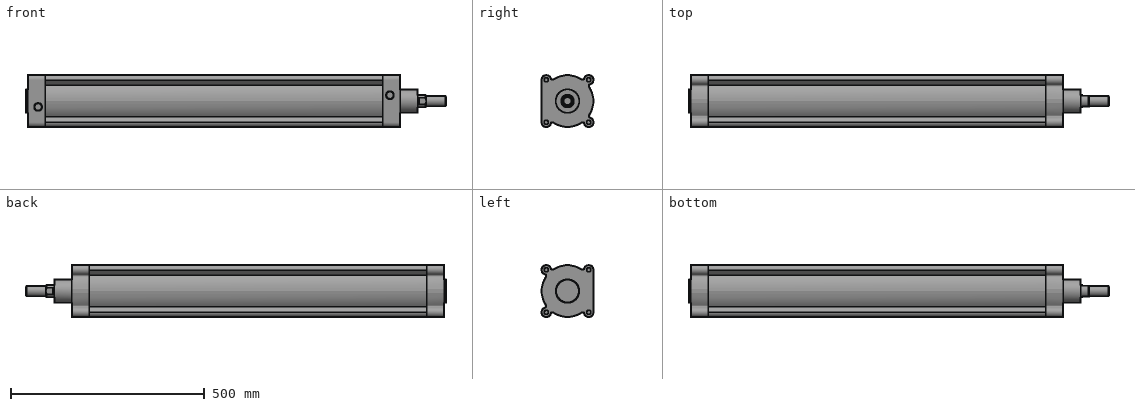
import cadquery as cq
import math

TOTAL_LENGTH = 1085.0
SPIGOT_LENGTH = 6.0
CAP_LENGTH = 45.0
FRONT_CAP_END = 966.0
COLLAR_LENGTH = 46.0
REAR_CAP_START = SPIGOT_LENGTH
BARREL_START = REAR_CAP_START + CAP_LENGTH
FRONT_CAP_START = FRONT_CAP_END - CAP_LENGTH
COLLAR_END = FRONT_CAP_END + COLLAR_LENGTH

WIDTH = 135.0
HALF_WIDTH = WIDTH / 2
BODY_DIAMETER = 133.0
BODY_RADIUS = BODY_DIAMETER / 2

BARREL_LUG_OFFSET = 54.0
RIDGE_HALF_WIDTH = 8.1

CAP_LUG_DIAMETER = 25.0
CAP_LUG_RADIUS = CAP_LUG_DIAMETER / 2
CAP_LUG_OFFSET = HALF_WIDTH - CAP_LUG_RADIUS
LUG_FILLET = 4.0
ROOT_TOLERANCE = 0.1
FLAT_SIDE_DEPTH = 18.0
PAD_TOP_HALF_WIDTH = 4.9
PAD_HALF_WIDTH = 12.0
PAD_QUARTERS = (0, 2, 3)
CORNERS = [(y, z) for y in (-CAP_LUG_OFFSET, CAP_LUG_OFFSET) for z in (-CAP_LUG_OFFSET, CAP_LUG_OFFSET)]

COLLAR_RADIUS = 30.0
SPIGOT_CHAMFER = 1.0
SCREW_HOLE_DIAMETER = 11.0
SCREW_HOLE_DEPTH = 22.0
PORT_DIAMETER = 18.0
PORT_CHAMFER = 1.0
PORT_DEPTH = 22.0
PORT_INSET = 26.0
PORT_HEIGHT = 15.0

ROD_RADIUS = 16.0
THREAD_DIAMETER = 27.0
THREAD_LENGTH = 54.0
SHOULDER_CHAMFER = 2.7
TIP_CHAMFER = 3.0
FLATS_WIDTH = 28.0
FLATS_INSET = 4.0
FLATS_START = COLLAR_END + FLATS_INSET
SHOULDER_X = TOTAL_LENGTH - THREAD_LENGTH


def section(x):
    """Workplane across the axis at x, with local axes along Y and Z."""
    return cq.Workplane("YZ", origin=(x, 0, 0))


def add_at_quarters(body, piece, quarters):
    """Join copies of piece to body, turned about the axis by each number of quarter turns."""
    for quarter in quarters:
        body = body.union(piece.rotate((0, 0, 0), (1, 0, 0), 90 * quarter))
    return body


def height_on_circle(offset):
    """Distance from the axis plane to the round body at a sideways offset."""
    return math.sqrt(BODY_RADIUS**2 - offset**2)


def make_barrel():
    """Round profile with four corner lugs that have 45-degree flanks, and four low ridges."""
    length = FRONT_CAP_START - BARREL_START
    round_body = section(BARREL_START).circle(BODY_RADIUS).extrude(length)
    lug_radius = BODY_RADIUS - BARREL_LUG_OFFSET
    arc_middle = BARREL_LUG_OFFSET + lug_radius * math.sqrt(0.5)
    lug = (
        section(BARREL_START)
        .moveTo(0, lug_radius)
        .lineTo(BARREL_LUG_OFFSET, BODY_RADIUS)
        .threePointArc((arc_middle, arc_middle), (BODY_RADIUS, BARREL_LUG_OFFSET))
        .lineTo(lug_radius, 0)
        .close()
        .extrude(length)
    )
    ridge_foot = height_on_circle(RIDGE_HALF_WIDTH)
    ridge = (
        section(BARREL_START)
        .moveTo(0, 0)
        .lineTo(RIDGE_HALF_WIDTH, ridge_foot)
        .lineTo(0, HALF_WIDTH)
        .lineTo(-RIDGE_HALF_WIDTH, ridge_foot)
        .close()
        .extrude(length)
    )
    barrel = add_at_quarters(round_body, lug, range(4))
    return add_at_quarters(barrel, ridge, range(4))


def make_pad(start):
    """Low flat-topped rib on the +Z side of a cap."""
    foot = height_on_circle(PAD_HALF_WIDTH)
    return (
        section(start)
        .moveTo(0, 0)
        .lineTo(PAD_HALF_WIDTH, foot)
        .lineTo(PAD_TOP_HALF_WIDTH, HALF_WIDTH)
        .lineTo(-PAD_TOP_HALF_WIDTH, HALF_WIDTH)
        .lineTo(-PAD_HALF_WIDTH, foot)
        .close()
        .extrude(CAP_LENGTH)
    )


def make_cap_blank(start):
    """Round plate with four corner lugs, a flat -Y side and pads on the other three sides."""
    blank = section(start).circle(BODY_RADIUS).extrude(CAP_LENGTH)
    lugs = section(start).pushPoints(CORNERS).circle(CAP_LUG_RADIUS).extrude(CAP_LENGTH)
    flat_side = (
        section(start)
        .center((FLAT_SIDE_DEPTH - WIDTH) / 2, 0)
        .rect(FLAT_SIDE_DEPTH, 2 * CAP_LUG_OFFSET)
        .extrude(CAP_LENGTH)
    )
    blank = fillet_lug_roots(blank.union(lugs).union(flat_side))
    return add_at_quarters(blank, make_pad(start), PAD_QUARTERS)


def fillet_lug_roots(blank):
    """Round the inner corners where each lug meets the round plate."""
    roots = []
    for edge in blank.edges("|X").vals():
        middle = edge.Center()
        beside_lug = abs(middle.y) > CAP_LUG_RADIUS and abs(middle.z) > CAP_LUG_RADIUS
        on_plate = abs(math.hypot(middle.y, middle.z) - BODY_RADIUS) < ROOT_TOLERANCE
        if beside_lug and on_plate:
            roots.append(edge)
    return blank.newObject(roots).fillet(LUG_FILLET)


def cut_port(cap, x, z):
    """Blind air port in the flat -Y side."""
    port = (
        cq.Workplane("XZ", origin=(x, -HALF_WIDTH, z))
        .circle(PORT_DIAMETER / 2)
        .extrude(-PORT_DEPTH)
    )
    countersink = (
        cq.Workplane("XZ", origin=(x, -HALF_WIDTH, z))
        .circle(PORT_DIAMETER / 2 + PORT_CHAMFER)
        .extrude(-PORT_CHAMFER, taper=45)
    )
    return cap.cut(port).cut(countersink)


def cut_screw_holes(cap, start):
    """Blind screw holes in the lugs, running along X from start."""
    holes = (
        section(start)
        .pushPoints(CORNERS)
        .circle(SCREW_HOLE_DIAMETER / 2)
        .extrude(SCREW_HOLE_DEPTH)
    )
    return cap.cut(holes)


def make_rear_cap():
    """Cap with a short round spigot on its rear face."""
    cap = make_cap_blank(REAR_CAP_START)
    spigot = section(0).circle(COLLAR_RADIUS).extrude(SPIGOT_LENGTH)
    cap = cap.union(spigot.faces("<X").chamfer(SPIGOT_CHAMFER))
    cap = cut_port(cap, REAR_CAP_START + PORT_INSET, -PORT_HEIGHT)
    return cut_screw_holes(cap, REAR_CAP_START)


def make_front_cap():
    """Cap with a long round collar on its front face."""
    cap = make_cap_blank(FRONT_CAP_START)
    cap = cap.union(section(FRONT_CAP_END).circle(COLLAR_RADIUS).extrude(COLLAR_LENGTH))
    cap = cut_port(cap, FRONT_CAP_END - PORT_INSET, PORT_HEIGHT)
    return cut_screw_holes(cap, FRONT_CAP_END - SCREW_HOLE_DEPTH)


def make_rod():
    """Rod end with two wrench flats facing -Y and +Y, and a thinner threaded tip."""
    shaft_length = SHOULDER_X + SHOULDER_CHAMFER - COLLAR_END
    shaft = section(COLLAR_END).circle(ROD_RADIUS).extrude(shaft_length)
    shaft = shaft.faces(">X").chamfer(SHOULDER_CHAMFER)
    for side in (-1, 1):
        waste = (
            section(FLATS_START)
            .center(side * (FLATS_WIDTH / 2 + ROD_RADIUS), 0)
            .rect(2 * ROD_RADIUS, 2 * ROD_RADIUS)
            .extrude(THREAD_LENGTH)
        )
        shaft = shaft.cut(waste)
    tip = section(SHOULDER_X).circle(THREAD_DIAMETER / 2).extrude(THREAD_LENGTH)
    tip = tip.faces(">X").chamfer(TIP_CHAMFER)
    return shaft.union(tip)


rear_cap = make_rear_cap()
barrel = make_barrel()
front_cap = make_front_cap()
rod = make_rod()

result = cq.Compound.makeCompound([rear_cap.val(), barrel.val(), front_cap.val(), rod.val()])